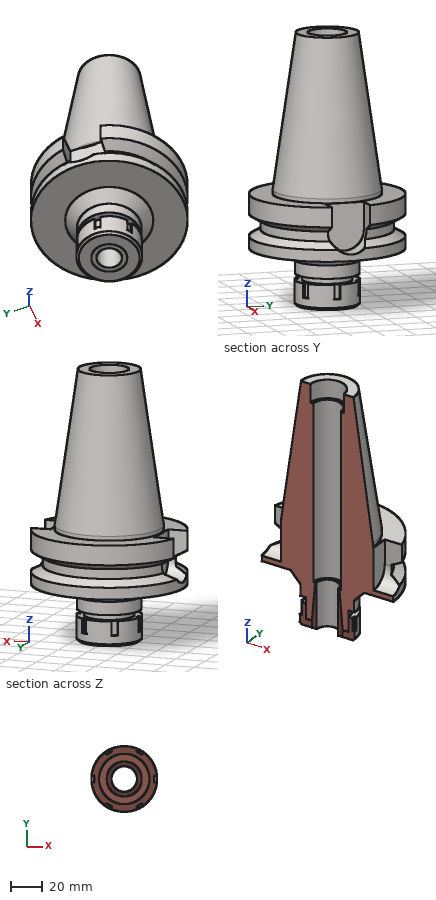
import cadquery as cq

overall_height = 176.8
taper_base_diameter = 69.8
taper_base_radius = taper_base_diameter / 2
taper_tip_radius = 20.2
drawbar_counterbore_radius = 12.5
drawbar_counterbore_depth = 13.5
drawbar_bore_radius = 10.5

flange_radius = 50.0
flange_bottom_z = 37.0
flange_top_z = 72.1
gauge_collar_height = 2.8
groove_radius = 42.6
groove_center_z = 52.0
groove_floor_width = 6.4
groove_mouth_width = 14.7

slot_width = 25.8
slot_floor_distance = 35.4
slot_bottom_z = 41.2

nose_radius = 20.7
nose_cone_radius = 28.1
nose_cone_bottom_z = 29.2
nose_bottom_z = 20.5
neck_radius = 16.3

nut_radius = 21.0
nut_top_z = 16.5
nut_chamfer = 1.6
wrench_slot_count = 6
wrench_slot_width = 4.0
wrench_slot_depth = 1.8
wrench_slot_bottom_z = 7.0
nut_lip_height = 5.0

collet_face_radius = 11.5
collet_bore_radius = 8.1
collet_tail_radius = 9.0
collet_top_z = 34.0


def revolve_profile(points):
    """Revolve (radius, z) points about the Z axis."""
    return cq.Workplane("XZ").polyline(points).close().revolve(360, (0, 0), (0, 1))


def collet_envelope():
    """Cone that the collet fills and that the holder and nut leave open."""
    return revolve_profile([
        (0, 0),
        (collet_face_radius, 0),
        (collet_face_radius, nut_lip_height),
        (collet_tail_radius, collet_top_z),
        (0, collet_top_z),
    ])


def drive_slot():
    """Round-bottomed slot on the +X side, open at the flange rim and top face."""
    slot_radius = slot_width / 2
    arc_center_z = slot_bottom_z + slot_radius
    return (
        cq.Workplane("YZ", origin=(slot_floor_distance, 0, 0))
        .moveTo(-slot_radius, flange_top_z)
        .lineTo(-slot_radius, arc_center_z)
        .threePointArc((0, slot_bottom_z), (slot_radius, arc_center_z))
        .lineTo(slot_radius, flange_top_z)
        .close()
        .extrude(flange_radius - slot_floor_distance)
    )


def make_holder():
    """Taper, grooved flange, nose and neck, bored right through."""
    holder = revolve_profile([
        (0, nut_lip_height),
        (neck_radius, nut_lip_height),
        (neck_radius, nose_bottom_z),
        (nose_radius, nose_bottom_z),
        (nose_radius, nose_cone_bottom_z),
        (nose_cone_radius, flange_bottom_z),
        (flange_radius, flange_bottom_z),
        (flange_radius, groove_center_z - groove_mouth_width / 2),
        (groove_radius, groove_center_z - groove_floor_width / 2),
        (groove_radius, groove_center_z + groove_floor_width / 2),
        (flange_radius, groove_center_z + groove_mouth_width / 2),
        (flange_radius, flange_top_z),
        (taper_base_radius, flange_top_z),
        (taper_base_radius, flange_top_z + gauge_collar_height),
        (taper_tip_radius, overall_height),
        (0, overall_height),
    ])
    counterbore_floor_z = overall_height - drawbar_counterbore_depth
    bore = revolve_profile([
        (0, collet_top_z),
        (drawbar_bore_radius, collet_top_z),
        (drawbar_bore_radius, counterbore_floor_z),
        (drawbar_counterbore_radius, counterbore_floor_z),
        (drawbar_counterbore_radius, overall_height),
        (0, overall_height),
    ])
    holder = holder.cut(bore).cut(collet_envelope())
    for angle in (0, 180):
        holder = holder.cut(drive_slot().rotate((0, 0, 0), (0, 0, 1), angle))
    return holder


def make_nut():
    """Nut around the neck, with a lip under it and wrench slots in the rim."""
    nut = (
        cq.Workplane("XY")
        .circle(nut_radius)
        .extrude(nut_top_z)
        .faces("<Z")
        .chamfer(nut_chamfer)
    )
    neck_recess = (
        cq.Workplane("XY", origin=(0, 0, nut_lip_height))
        .circle(neck_radius)
        .extrude(nut_top_z - nut_lip_height)
    )
    nut = nut.cut(neck_recess).cut(collet_envelope())
    wrench_slot = (
        cq.Workplane("XY", origin=(nut_radius, 0, wrench_slot_bottom_z))
        .rect(2 * wrench_slot_depth, wrench_slot_width)
        .extrude(nut_top_z - wrench_slot_bottom_z)
    )
    for slot in range(wrench_slot_count):
        angle = slot * 360 / wrench_slot_count
        nut = nut.cut(wrench_slot.rotate((0, 0, 0), (0, 0, 1), angle))
    return nut


def make_collet():
    """Tapered collet with a straight bore, flush with the nut's lower face."""
    bore = cq.Workplane("XY").circle(collet_bore_radius).extrude(collet_top_z)
    return collet_envelope().cut(bore)


holder = make_holder()
nut = make_nut()
collet = make_collet()

result = cq.Compound.makeCompound([holder.val(), nut.val(), collet.val()])